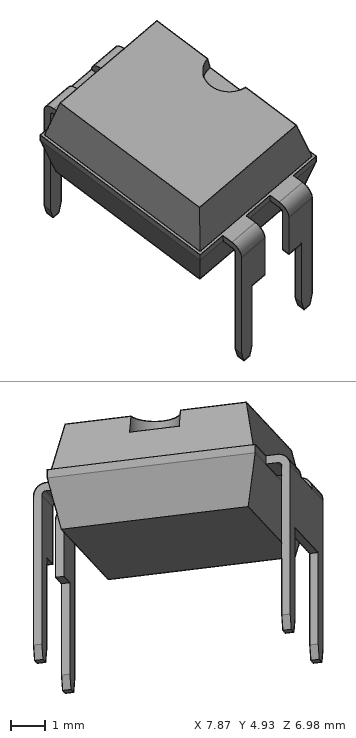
import cadquery as cq

lead_span = 7.87
total_height = 6.98
band_length = 6.375
band_width = 4.93
half_height = 1.52
taper_inset = 0.32
upper_ledge = 0.09

notch_radius = 0.76
notch_center_y = 2.16
notch_depth = 0.54

lead_thickness = 0.26
bend_radius = 0.385
row_width = 3.0
shoulder_width = 0.99
leg_width = 0.45
tip_width = 0.25
tip_height = 0.44
shoulder_bottom = 3.29

band_top = total_height - half_height
band_bottom = band_top - lead_thickness
bend_start = band_top - bend_radius
half_span = lead_span / 2
half_row = row_width / 2


def tapered_half(length, width, start_z, end_z):
    """Frustum narrowing from start_z to end_z."""
    return (
        cq.Workplane("XY", origin=(0, 0, start_z))
        .rect(length, width)
        .workplane(offset=end_z - start_z)
        .rect(length - 2 * taper_inset, width - 2 * taper_inset)
        .loft(ruled=True)
    )


def make_body():
    band = (
        cq.Workplane("XY", origin=(0, 0, band_bottom))
        .rect(band_length, band_width)
        .extrude(lead_thickness)
    )
    upper = tapered_half(
        band_length - 2 * upper_ledge, band_width - 2 * upper_ledge, band_top, total_height
    )
    lower = tapered_half(band_length, band_width, band_bottom, band_bottom - half_height)
    notch = (
        cq.Workplane("XY", origin=(0, notch_center_y, total_height - notch_depth))
        .circle(notch_radius)
        .extrude(notch_depth)
    )
    return band.union(upper.cut(notch)).union(lower)


def make_lead():
    """Lead on the -X, +Y corner: a bent strip trimmed to shoulder, leg and pointed tip."""
    inner_x = -half_span + lead_thickness
    inner_radius = bend_radius - lead_thickness
    root_x = -band_length / 2 + lead_thickness
    strip = (
        cq.Workplane("XZ")
        .moveTo(-half_span, 0)
        .lineTo(-half_span, bend_start)
        .radiusArc((-half_span + bend_radius, band_top), bend_radius)
        .lineTo(root_x, band_top)
        .lineTo(root_x, band_bottom)
        .lineTo(inner_x + inner_radius, band_bottom)
        .radiusArc((inner_x, bend_start), -inner_radius)
        .lineTo(inner_x, 0)
        .close()
        .extrude(-half_row)
    )
    shoulder_inner_y = half_row - shoulder_width
    leg_inner_y = half_row - leg_width
    tip_inset = (leg_width - tip_width) / 2
    outline = (
        cq.Workplane("YZ", origin=(-half_span, 0, 0))
        .polyline([
            (half_row, band_top),
            (half_row, tip_height),
            (half_row - tip_inset, 0),
            (leg_inner_y + tip_inset, 0),
            (leg_inner_y, tip_height),
            (leg_inner_y, shoulder_bottom),
            (shoulder_inner_y, shoulder_bottom),
            (shoulder_inner_y, band_top),
        ])
        .close()
        .extrude(half_span)
    )
    return strip.intersect(outline)


def make_bridge():
    """Flat plate joining the two -X leads below their bends."""
    gap = row_width - 2 * shoulder_width
    return cq.Workplane("XY").box(
        lead_thickness, gap, bend_start - shoulder_bottom, centered=(False, True, False)
    ).translate((-half_span, 0, shoulder_bottom))


lead = make_lead()
left_row = lead.union(lead.mirror("XZ"))
right_row = left_row.mirror("YZ")
result = make_body().union(left_row).union(right_row).union(make_bridge())